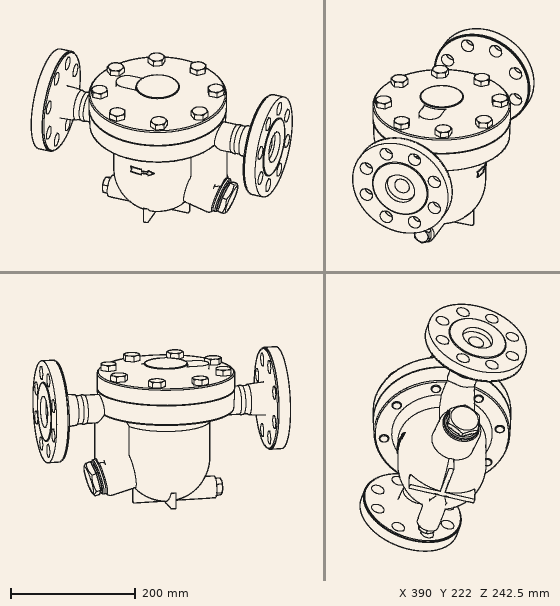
import cadquery as cq
import math


FACE_TO_FACE = 390.0
NOZZLE_MID_X = 7.0
FLANGE_D = 165.0
FLANGE_THICK = 21.5
FLANGE_STEP_W = 2.5
FLANGE_STEP_DROP = 1.8
RAISED_FACE_H = 1.2
RAISED_FACE_BASE_D = 96.0
RAISED_FACE_D = 93.0
FLANGE_BOLT_CIRCLE_D = 127.0
FLANGE_HOLE_D = 21.0
BOLT_COUNT = 8
SOCKET_D = 50.0
SOCKET_DEPTH = 9.0
BORE_D = 25.0
BORE_DEPTH = 60.0
PIPE_D = 46.0
HUB_D = 53.3
HUB_END_D = 49.5
HUB_ROOT_FILLET = 3.0
HUB_LENGTH = 26.2
HUB_NECK_W = 4.4
HUB_NECK_RADIUS = 6.0
WELD_BEAD_START = 134.0
WELD_BEAD_WIDTH = 7.0
WELD_BEAD_H = 1.0

COVER_D = 222.0
COVER_TOP_Z = 54.5
JOINT_Z = 27.0
COVER_CHAMFER = 2.0
JOINT_GROOVE_W = 1.0
JOINT_GROOVE_DEPTH = 0.5
CONE_FOOT_D = 136.0
CONE_START_D = 112.0
CONE_START_Z = 57.0
CONE_SLOPE = 19.5
BOSS_D = 70.0
BOSS_TOP_Z = 69.0
BOSS_FILLET = 4.5
BOSS_CHAMFER = 1.2
PAD_W = 36.0
PAD_CENTER_X = -52.5
PAD_TOP_Z = 65.3
PAD_FILLET = 2.0

COVER_BOLT_CIRCLE_D = 187.5
BOLT_D = 16.0
BOLT_HEAD_AF = 24.0
BOLT_HEAD_H = 9.5
BOLT_END_Z = -8.3
BOLT_END_CHAMFER = 1.5
BOLT_HEAD_TURN = -22.5

BODY_FLANGE_BOTTOM_Z = -7.0
BODY_FLANGE_BOTTOM_D = 219.0
BODY_FLANGE_FILLET = 2.0
NECK_TOP_D = 162.0
NECK_BOTTOM_Z = -26.5
BODY_D = 142.0
DOME_Z = -84.5
OVERALL_H = 242.5
BOTTOM_Z = FLANGE_D / 2 - OVERALL_H
DOME_CLEARANCE = 0.5
DOME_BOTTOM_Z = BOTTOM_Z + DOME_CLEARANCE

RIB_REACH = 54.5
RIB_THICK = 8.0
RIB_TOP_Z = -134.0
RIB_FILLET = 1.5

DRAIN_D = 36.0
DRAIN_END_X = -80.5
DRAIN_COLLAR_X = -70.0
DRAIN_COLLAR_END_D = 35.5
DRAIN_BLEND = 4.5
DRAIN_BLEND_Z = -154.0
DRAIN_PLUG_AF = 25.0
DRAIN_PLUG_TOP_D = 22.5
DRAIN_PLUG_H = 11.0

PASSAGE_W = 48.0
PASSAGE_END_X = 115.5
PASSAGE_FILLET = 14.5
HOLDER_TILT = 15.0
HOLDER_TIP_X = 128.0
HOLDER_TIP_Z = -118.2
HOLDER_D = 70.0
HOLDER_LENGTH = 110.0
HOLDER_ROUND_START = 29.0
HOLDER_ROUND_END = 21.4
HOLDER_END_D = 61.0
HOLDER_ROUND_RADIUS = 8.0
PASSAGE_BLEND = 8.0
GASKET_D = 58.0
GASKET_START = 19.4
GASKET_CHAMFER_START = 15.9
GASKET_END = 14.0
GASKET_END_D = 54.0
HOLDER_PLUG_D = 46.0
HOLDER_PLUG_AF = 50.0
HOLDER_HEX_H = 11.0

ARROW_RELIEF = 1.5
ARROW_MID_Z = -52.5
ARROW_TAIL_X = -20.0
ARROW_TIP_X = 21.0
ARROW_NOTCH = 2.5
ARROW_HEAD_X = 11.0
ARROW_SHAFT_X = 0.0
ARROW_HALF_H = 5.0
ARROW_SHAFT_HALF_H = 2.0


def chamfered_hexagon(across_flats, height, top_d):
    """Hexagon on z = 0 with a corner on +X, its top turned to a 30 degree cone ending at top_d."""
    corner_d = across_flats / math.cos(math.pi / 6)
    drop = (corner_d - top_d) / 2 * math.tan(math.pi / 6)
    hexagon = cq.Workplane("XY").polygon(6, corner_d).extrude(height)
    turned = (
        cq.Workplane("XZ")
        .lineTo(corner_d / 2, 0)
        .lineTo(corner_d / 2, height - drop)
        .lineTo(top_d / 2, height)
        .lineTo(0, height)
        .close()
        .revolve()
    )
    return hexagon.intersect(turned)


def make_nozzle(side):
    """One solid nozzle with its pipe flange; side is -1 for the inlet and +1 for the outlet."""
    end = FACE_TO_FACE / 2
    face = end - RAISED_FACE_H
    back = end - FLANGE_THICK - RAISED_FACE_H
    hub_end = back - HUB_LENGTH - HUB_ROOT_FILLET
    hub_root = (back - HUB_ROOT_FILLET, HUB_D / 2)
    hub_drop = (HUB_D - HUB_END_D) / 2
    hub_radius = (HUB_LENGTH**2 + hub_drop**2) / (2 * hub_drop)
    profile = (
        cq.Workplane("XY")
        .moveTo(0, 0)
        .lineTo(end, 0)
        .lineTo(end, RAISED_FACE_D / 2)
        .lineTo(face, RAISED_FACE_BASE_D / 2)
        .lineTo(face, FLANGE_D / 2)
        .lineTo(back + FLANGE_STEP_W, FLANGE_D / 2)
        .lineTo(back + FLANGE_STEP_W, FLANGE_D / 2 - FLANGE_STEP_DROP)
        .lineTo(back, FLANGE_D / 2 - FLANGE_STEP_DROP)
        .lineTo(back, HUB_D / 2 + HUB_ROOT_FILLET)
        .radiusArc(hub_root, HUB_ROOT_FILLET)
        .radiusArc((hub_end, HUB_END_D / 2), -hub_radius)
        .radiusArc((hub_end - HUB_NECK_W, PIPE_D / 2), HUB_NECK_RADIUS)
        .lineTo(WELD_BEAD_START, PIPE_D / 2)
        .threePointArc(
            (WELD_BEAD_START - WELD_BEAD_WIDTH / 2, PIPE_D / 2 + WELD_BEAD_H),
            (WELD_BEAD_START - WELD_BEAD_WIDTH, PIPE_D / 2),
        )
        .lineTo(0, PIPE_D / 2)
        .close()
    )
    nozzle = profile.revolve(360, (0, 0, 0), (1, 0, 0))
    holes = (
        cq.Workplane("YZ", origin=(end, 0, 0))
        .polarArray(FLANGE_BOLT_CIRCLE_D / 2, 180 / BOLT_COUNT, 360, BOLT_COUNT)
        .circle(FLANGE_HOLE_D / 2)
        .extrude(-2 * FLANGE_THICK)
    )
    nozzle = nozzle.cut(holes)
    if side < 0:
        nozzle = nozzle.mirror("YZ")
    return nozzle.translate((NOZZLE_MID_X, 0, 0))


def make_bore(side):
    """Blind socket and bore entering one pipe flange along X."""
    face_plane = cq.Workplane("YZ", origin=(NOZZLE_MID_X + side * FACE_TO_FACE / 2, 0, 0))
    socket = face_plane.circle(SOCKET_D / 2).extrude(-side * SOCKET_DEPTH)
    bore = face_plane.circle(BORE_D / 2).extrude(-side * BORE_DEPTH)
    return socket.union(bore)


def make_body_and_cover():
    """Cover, body flange, neck, cylinder and dome as one turned shape."""
    foot_slope = math.radians(CONE_SLOPE)
    boss_tangent = BOSS_FILLET * math.tan((math.pi / 2 - foot_slope) / 2)
    boss_root_r = BOSS_D / 2 + boss_tangent * math.cos(foot_slope)
    boss_foot_z = CONE_START_Z + (CONE_START_D - BOSS_D) / 2 * math.tan(foot_slope)
    foot_radius = (CONE_FOOT_D - CONE_START_D) / 2 / math.sin(foot_slope)
    groove_r = COVER_D / 2 - JOINT_GROOVE_DEPTH
    flange_bottom_r = BODY_FLANGE_BOTTOM_D / 2
    dome_mid = math.pi / 4
    dome_h = DOME_Z - DOME_BOTTOM_Z
    half = (
        cq.Workplane("XZ")
        .moveTo(0, DOME_BOTTOM_Z)
        .lineTo(0, BOSS_TOP_Z)
        .lineTo(BOSS_D / 2 - BOSS_CHAMFER, BOSS_TOP_Z)
        .lineTo(BOSS_D / 2, BOSS_TOP_Z - BOSS_CHAMFER)
        .lineTo(BOSS_D / 2, boss_foot_z + boss_tangent)
        .radiusArc((boss_root_r, boss_foot_z - boss_tangent * math.sin(foot_slope)), -BOSS_FILLET)
        .lineTo(CONE_START_D / 2, CONE_START_Z)
        .radiusArc((CONE_FOOT_D / 2, COVER_TOP_Z), -foot_radius)
        .lineTo(COVER_D / 2 - COVER_CHAMFER, COVER_TOP_Z)
        .lineTo(COVER_D / 2, COVER_TOP_Z - COVER_CHAMFER)
        .lineTo(COVER_D / 2, JOINT_Z + JOINT_GROOVE_W / 2)
        .lineTo(groove_r, JOINT_Z + JOINT_GROOVE_W / 2)
        .lineTo(groove_r, JOINT_Z - JOINT_GROOVE_W / 2)
        .lineTo(COVER_D / 2, JOINT_Z - JOINT_GROOVE_W / 2)
        .lineTo(flange_bottom_r, BODY_FLANGE_BOTTOM_Z + BODY_FLANGE_FILLET)
        .radiusArc((flange_bottom_r - BODY_FLANGE_FILLET, BODY_FLANGE_BOTTOM_Z), BODY_FLANGE_FILLET)
        .lineTo(NECK_TOP_D / 2, BODY_FLANGE_BOTTOM_Z)
        .lineTo(BODY_D / 2, NECK_BOTTOM_Z)
        .lineTo(BODY_D / 2, DOME_Z)
        .threePointArc(
            (BODY_D / 2 * math.cos(dome_mid), DOME_Z - dome_h * math.sin(dome_mid)),
            (0, DOME_BOTTOM_Z),
        )
        .close()
    )
    return half.revolve(360, (0, 0, 0), (0, 1, 0))


def add_cover_pad(cover):
    """Add the round-ended pad running from the cover boss toward the inlet, filleted at its foot."""
    pad = (
        cq.Workplane("XY", origin=(0, 0, JOINT_Z))
        .moveTo(0, PAD_W / 2)
        .lineTo(PAD_CENTER_X, PAD_W / 2)
        .threePointArc((PAD_CENTER_X - PAD_W / 2, 0), (PAD_CENTER_X, -PAD_W / 2))
        .lineTo(0, -PAD_W / 2)
        .close()
        .extrude(PAD_TOP_Z - JOINT_Z)
    )
    foot_seam = cq.selectors.BoxSelector(
        (PAD_CENTER_X - PAD_W, -PAD_W, COVER_TOP_Z - PAD_FILLET),
        (0, PAD_W, PAD_TOP_Z - PAD_FILLET / 2),
        boundingbox=True,
    )
    return cover.union(pad).edges(foot_seam).fillet(PAD_FILLET)


def make_cover_bolts():
    """Ring of hexagon bolts whose shank ends show under the body flange."""
    shank = (
        cq.Workplane("XY", origin=(0, 0, BOLT_END_Z))
        .circle(BOLT_D / 2)
        .extrude(COVER_TOP_Z - BOLT_END_Z)
        .faces("<Z")
        .chamfer(BOLT_END_CHAMFER)
    )
    head = chamfered_hexagon(BOLT_HEAD_AF, BOLT_HEAD_H, BOLT_HEAD_AF)
    head = head.rotate((0, 0, 0), (0, 0, 1), BOLT_HEAD_TURN)
    bolt = head.translate((0, 0, COVER_TOP_Z)).union(shank)
    bolt = bolt.translate((COVER_BOLT_CIRCLE_D / 2, 0, 0))
    pitch = 360 / BOLT_COUNT
    return [bolt.rotate((0, 0, 0), (0, 0, 1), (i + 0.5) * pitch) for i in range(BOLT_COUNT)]


def make_feet():
    """Flat ribs under the dome toward -Y, +Y and +X."""
    height = RIB_TOP_Z - BOTTOM_Z
    plane = cq.Workplane("XY", origin=(0, 0, BOTTOM_Z))
    cross_rib = plane.rect(RIB_THICK, 2 * RIB_REACH).extrude(height).edges("|Z").fillet(RIB_FILLET)
    end_rib = plane.center(RIB_REACH / 2, 0).rect(RIB_REACH, RIB_THICK).extrude(height)
    end_rib = end_rib.edges(">X and |Z").fillet(RIB_FILLET)
    return cross_rib.union(end_rib)


def make_drain_boss():
    """Horizontal drain boss toward -X, resting on the bottom plane, its end slightly tapered."""
    profile = (
        cq.Workplane("XY")
        .lineTo(DRAIN_END_X, 0)
        .lineTo(DRAIN_END_X, DRAIN_COLLAR_END_D / 2)
        .lineTo(DRAIN_COLLAR_X, DRAIN_D / 2)
        .lineTo(0, DRAIN_D / 2)
        .close()
    )
    boss = profile.revolve(360, (0, 0, 0), (1, 0, 0))
    return boss.translate((0, 0, BOTTOM_Z + DRAIN_D / 2))


def make_drain_blend(dome_body):
    """Filleted upper part of the joint between drain boss and dome, ending on a level plane."""
    block = cq.Workplane("XY", origin=(DRAIN_COLLAR_X / 2, 0, DRAIN_BLEND_Z))
    block = block.rect(-DRAIN_COLLAR_X, BODY_D).extrude(DOME_Z - DRAIN_BLEND_Z)
    joint = dome_body.union(make_drain_boss()).intersect(block)
    seam = cq.selectors.BoxSelector(
        (DRAIN_COLLAR_X + DRAIN_BLEND, -DRAIN_D / 2, DRAIN_BLEND_Z + DRAIN_BLEND),
        (-DRAIN_D / 2, DRAIN_D / 2, BOTTOM_Z + DRAIN_D),
    )
    return joint.edges(seam).fillet(DRAIN_BLEND)


def make_drain_plug():
    """Hexagon plug on the end of the drain boss, corners up and down."""
    plug = chamfered_hexagon(DRAIN_PLUG_AF, DRAIN_PLUG_H, DRAIN_PLUG_TOP_D)
    plug = plug.rotate((0, 0, 0), (0, 1, 0), -90)
    return plug.translate((DRAIN_END_X, 0, BOTTOM_Z + DRAIN_D / 2))


def make_passage():
    """Upright outlet passage from the nozzle down to the screen holder."""
    return (
        cq.Workplane("XY")
        .center(PASSAGE_END_X / 2, 0)
        .rect(PASSAGE_END_X, PASSAGE_W)
        .extrude(HOLDER_TIP_Z)
        .edges(">X and |Z")
        .fillet(PASSAGE_FILLET)
    )


def tilt_to_holder(shape):
    """Turn a shape built along +Z onto the holder axis, its origin at the plug's outer face."""
    tilted = shape.rotate((0, 0, 0), (0, 1, 0), 90 + HOLDER_TILT)
    return tilted.translate((HOLDER_TIP_X, 0, HOLDER_TIP_Z))


def make_outlet():
    """Upright passage blended into the cylindrical screen holder tilted downward toward +X."""
    barrel = cq.Workplane("XY", origin=(0, 0, -HOLDER_LENGTH)).circle(HOLDER_D / 2).extrude(HOLDER_LENGTH)
    joint = make_passage().union(tilt_to_holder(barrel))
    seam = cq.selectors.BoxSelector(
        (PASSAGE_W / 2, -PASSAGE_W, HOLDER_TIP_Z + HOLDER_ROUND_START),
        (HOLDER_TIP_X, PASSAGE_W, HOLDER_TIP_Z + HOLDER_D),
        boundingbox=True,
    )
    joint = joint.edges(seam).fillet(PASSAGE_BLEND)
    end_cut = cq.Workplane("XY").circle(HOLDER_D / 2 + PASSAGE_BLEND).extrude(-HOLDER_ROUND_START)
    return joint.cut(tilt_to_holder(end_cut)).union(make_passage())


def make_holder_end():
    """Rounded holder end, sealing collar and hexagon plug."""
    end = (
        cq.Workplane("XZ")
        .moveTo(0, -HOLDER_ROUND_START)
        .lineTo(HOLDER_D / 2, -HOLDER_ROUND_START)
        .radiusArc((HOLDER_END_D / 2, -HOLDER_ROUND_END), -HOLDER_ROUND_RADIUS)
        .lineTo(GASKET_D / 2, -GASKET_START)
        .lineTo(GASKET_D / 2, -GASKET_CHAMFER_START)
        .lineTo(GASKET_END_D / 2, -GASKET_END)
        .lineTo(HOLDER_PLUG_D / 2, -GASKET_END)
        .lineTo(HOLDER_PLUG_D / 2, -HOLDER_HEX_H)
        .lineTo(0, -HOLDER_HEX_H)
        .close()
        .revolve(360, (0, 0, 0), (0, 1, 0))
    )
    plug = chamfered_hexagon(HOLDER_PLUG_AF, HOLDER_HEX_H, HOLDER_PLUG_D)
    plug = plug.translate((0, 0, -HOLDER_HEX_H))
    return tilt_to_holder(end.union(plug))


def make_flow_arrow():
    """Raised arrow following the round front of the body."""
    reach = BODY_D / 2 + ARROW_RELIEF
    outline = [
        (ARROW_TAIL_X, ARROW_HALF_H),
        (ARROW_SHAFT_X, ARROW_HALF_H),
        (ARROW_SHAFT_X, ARROW_SHAFT_HALF_H),
        (ARROW_HEAD_X, ARROW_SHAFT_HALF_H),
        (ARROW_HEAD_X, ARROW_HALF_H),
        (ARROW_TIP_X, 0),
        (ARROW_HEAD_X, -ARROW_HALF_H),
        (ARROW_HEAD_X, -ARROW_SHAFT_HALF_H),
        (ARROW_SHAFT_X, -ARROW_SHAFT_HALF_H),
        (ARROW_SHAFT_X, -ARROW_HALF_H),
        (ARROW_TAIL_X, -ARROW_HALF_H),
        (ARROW_TAIL_X + ARROW_NOTCH, 0),
    ]
    arrow = cq.Workplane("XZ", origin=(0, 0, ARROW_MID_Z)).polyline(outline).close().extrude(reach)
    limit = cq.Workplane("XY", origin=(0, 0, DOME_Z)).circle(reach).extrude(-DOME_Z)
    return arrow.intersect(limit)


body = make_body_and_cover()
result = add_cover_pad(body).union(make_drain_blend(body)).union(make_drain_boss())
result = result.union(make_feet()).union(make_drain_plug())
result = result.union(make_outlet()).union(make_holder_end()).union(make_flow_arrow())
for cover_bolt in make_cover_bolts():
    result = result.union(cover_bolt)
for nozzle_side in (-1, 1):
    result = result.union(make_nozzle(nozzle_side)).cut(make_bore(nozzle_side))